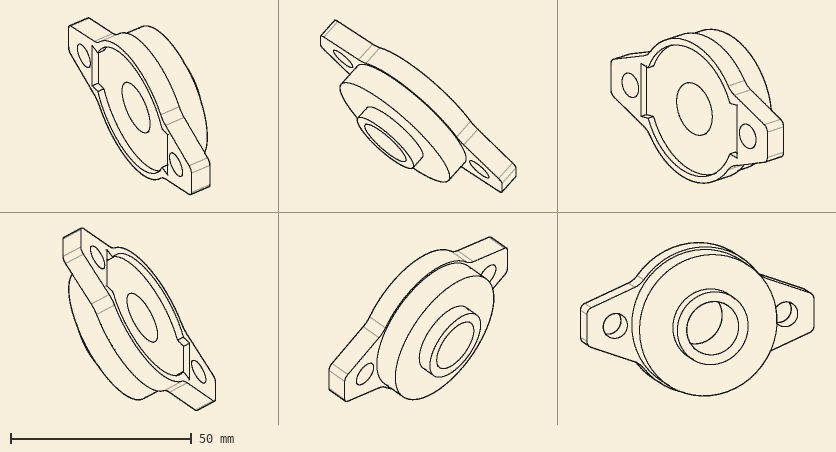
import cadquery as cq

length = 66.0
flange_radius = 20.7
flange_thickness = 6.0
disc_radius = 20.0
disc_thickness = 7.0
hub_radius = 10.3
hub_thickness = 4.0
bore_radius = 7.5

ear_tip_half_height = 5.15
ear_root_x = 13.2
ear_root_half_height = 12.9
ear_corner_radius = 2.0
ear_blend_radius = 6.0
hole_radius = 3.5
hole_offset = 24.75

recess_radius = 18.8
recess_depth = 2.0
notch_x = 20.25
notch_half_height = 7.9
notch_inner_x = 17.1
notch_inner_half_height = 7.5

half_length = length / 2
disc_back = flange_thickness + disc_thickness
total_depth = disc_back + hub_thickness


def cylinder(radius, depth, x=0.0):
    """Cylinder along +Y that starts on the flange front face."""
    return cq.Workplane("XZ").center(x, 0).circle(radius).extrude(-depth)


def mirrored_prism(upper_right, depth):
    """Prism along +Y whose outline is mirrored about X and Z.

    The points run from the outer end of the upper right quarter inward.
    """
    upper = upper_right + [(-x, z) for x, z in reversed(upper_right)]
    lower = [(x, -z) for x, z in reversed(upper)]
    return cq.Workplane("XZ").polyline(upper + lower).close().extrude(-depth)


def make_flange():
    ears = mirrored_prism(
        [(half_length, ear_tip_half_height), (ear_root_x, ear_root_half_height)],
        flange_thickness,
    )
    ears = ears.edges("|Y and (>X or <X)").fillet(ear_corner_radius)
    flange = ears.union(cylinder(flange_radius, flange_thickness))
    ear_roots = cq.selectors.BoxSelector(
        (-disc_radius, 0, -disc_radius), (disc_radius, flange_thickness, disc_radius)
    )
    return flange.edges("|Y").edges(ear_roots).fillet(ear_blend_radius)


def make_recess():
    notches = mirrored_prism(
        [(notch_x, notch_half_height), (notch_inner_x, notch_inner_half_height)],
        recess_depth,
    )
    return cylinder(recess_radius, recess_depth).union(notches)


result = (
    make_flange()
    .union(cylinder(disc_radius, disc_back))
    .union(cylinder(hub_radius, total_depth))
    .cut(make_recess())
    .cut(cylinder(bore_radius, total_depth))
)
for side in (-1, 1):
    result = result.cut(cylinder(hole_radius, flange_thickness, side * hole_offset))

result = result.translate((0, -total_depth / 2, 0))